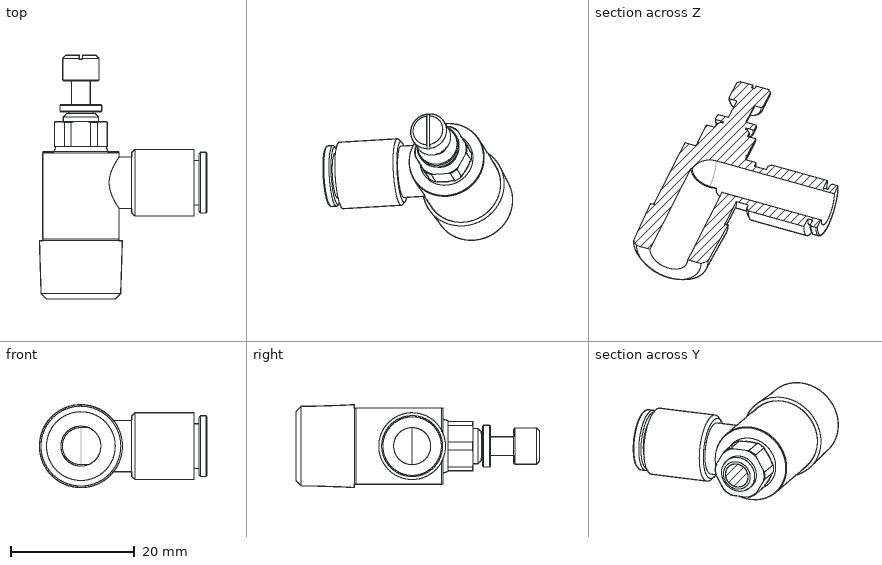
import cadquery as cq


thread_length = 9.48
thread_base_radius = 6.735
thread_radial_slope = 1 / 32
thread_tip_radius = 5.55
thread_chamfer_length = 0.85

body_radius = 6.2
body_top_y = 23.85
body_edge_length = 0.25
body_edge_depth = 0.08

shoulder_base_radius = 4.4
shoulder_top_radius = 4.1
nut_bottom_y = 24.7
nut_top_y = 28.7
nut_across_flats = 8.0
nut_corner_radius = 4.3
nut_edge = 0.1
nut_turn = 30

collar_radius = 2.9
collar_cone_y = 29.45
collar_top_y = 30.05
collar_top_radius = 2.35
neck_radius = 1.98
ring_bottom_y = 30.25
ring_top_y = 31.52
ring_radius = 3.4
ring_edge = 0.15
stem_radius = 1.55
knob_bottom_y = 35.27
knob_top_y = 39.5
knob_radius = 2.95
knob_bottom_edge = 0.25
knob_top_edge = 0.5
slot_width = 0.47
slot_depth = 0.65

branch_y = 18.85
stub_radius = 4.2
socket_start_x = 8.2
socket_end_x = 18.33
socket_radius = 5.4
socket_edge = 0.5
sleeve_radius = 3.65
release_start_x = 19.1
release_end_x = 20.44
release_radius = 4.95
release_inner_edge = 0.28
release_outer_edge = 0.2

inlet_radius = 3.25
outlet_radius = 3.0


def thread_radius(y):
    """Radius of the tapered thread at height y."""
    return thread_base_radius - (thread_length - y) * thread_radial_slope


def turned_about_y(points):
    """Solid of revolution about Y from (radius, y) points, closed along the axis."""
    outline = [(0, points[0][1])] + points + [(0, points[-1][1])]
    return cq.Workplane("XY").polyline(outline).close().revolve(360, (0, 0, 0), (0, 1, 0))


def cylinder_along_y(radius, start_y, end_y):
    return turned_about_y([(radius, start_y), (radius, end_y)])


def cylinder_along_x(radius, start_x, end_x):
    """Cylinder on the branch axis."""
    plane = cq.Workplane("YZ", origin=(start_x, branch_y, 0))
    return plane.circle(radius).extrude(end_x - start_x)


def make_body():
    edge_radius = body_radius - body_edge_depth
    return turned_about_y([
        (thread_tip_radius, 0),
        (thread_radius(thread_chamfer_length), thread_chamfer_length),
        (thread_base_radius, thread_length),
        (edge_radius, thread_length),
        (body_radius, thread_length + body_edge_length),
        (body_radius, body_top_y - body_edge_length),
        (edge_radius, body_top_y),
        (shoulder_base_radius, body_top_y),
        (shoulder_top_radius, nut_bottom_y),
    ])


def make_nut():
    """Hexagon with two flats facing +Z and -Z, its corners turned round."""
    hexagon = (
        cq.Workplane("XZ", origin=(0, nut_top_y, 0))
        .polygon(6, nut_across_flats, circumscribed=True)
        .extrude(nut_top_y - nut_bottom_y)
        .rotate((0, 0, 0), (0, 1, 0), nut_turn)
    )
    envelope = turned_about_y([
        (nut_corner_radius, nut_bottom_y),
        (nut_corner_radius, nut_top_y - nut_edge),
        (nut_corner_radius - nut_edge, nut_top_y),
    ])
    return hexagon.intersect(envelope)


def make_collar():
    return turned_about_y([
        (collar_radius, nut_top_y),
        (collar_radius, collar_cone_y),
        (collar_top_radius, collar_top_y),
        (neck_radius, collar_top_y),
        (neck_radius, ring_bottom_y),
    ])


def make_ring():
    ring = cylinder_along_y(ring_radius, ring_bottom_y, ring_top_y)
    return ring.edges("%CIRCLE").chamfer(ring_edge)


def make_screw():
    stem = cylinder_along_y(stem_radius, ring_top_y, knob_bottom_y)
    knob = (
        cylinder_along_y(knob_radius, knob_bottom_y, knob_top_y)
        .faces(">Y").edges().chamfer(knob_top_edge)
        .faces("<Y").edges().chamfer(knob_bottom_edge)
    )
    slot = (
        cq.Workplane("XY")
        .box(slot_width, 2 * slot_depth, 2 * knob_radius)
        .translate((0, knob_top_y, 0))
    )
    return stem.union(knob.cut(slot))


def make_branch():
    stub = cylinder_along_x(stub_radius, 0, socket_start_x)
    socket = (
        cylinder_along_x(socket_radius, socket_start_x, socket_end_x)
        .faces("<X").edges().chamfer(socket_edge)
    )
    sleeve = cylinder_along_x(sleeve_radius, socket_end_x, release_start_x)
    release_ring = (
        cylinder_along_x(release_radius, release_start_x, release_end_x)
        .faces("<X").edges().chamfer(release_inner_edge)
        .faces(">X").edges().chamfer(release_outer_edge)
    )
    return stub.union(socket).union(sleeve).union(release_ring)


def make_passage():
    """Bore from the threaded end, turned into the branch at a ball-shaped corner."""
    inlet = cylinder_along_y(inlet_radius, 0, branch_y)
    corner = cq.Workplane("XY", origin=(0, branch_y, 0)).sphere(outlet_radius)
    outlet = cylinder_along_x(outlet_radius, 0, release_end_x)
    return inlet.union(corner).union(outlet)


result = make_body()
for piece in (make_nut(), make_collar(), make_ring(), make_screw(), make_branch()):
    result = result.union(piece)
result = result.cut(make_passage())